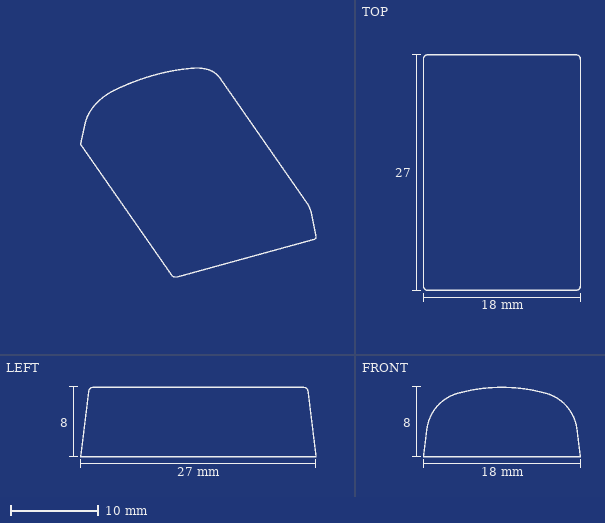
import cadquery as cq
import math

width = 18.0
length = 27.0
height = 8.0
draft_angle = 7.0
crown_radius = 18.9
shoulder_radius = 4.95
end_edge_radius = 0.5

draft_slope = math.tan(math.radians(draft_angle))


def side_crown_corner():
    """Sharp corner (x, z) where the leaning side line meets the crown arc."""
    half_width = width / 2
    center_z = height - crown_radius
    a = 1 + draft_slope**2
    b = -2 * (half_width * draft_slope + center_z)
    c = half_width**2 + center_z**2 - crown_radius**2
    z = (-b + math.sqrt(b**2 - 4 * a * c)) / (2 * a)
    return half_width - draft_slope * z, z


def arched_bar():
    """Constant section along Y, with rounded shoulders between sides and crown."""
    corner_x, corner_z = side_crown_corner()
    bar = (
        cq.Workplane("XZ")
        .moveTo(-width / 2, 0)
        .lineTo(width / 2, 0)
        .lineTo(corner_x, corner_z)
        .threePointArc((0, height), (-corner_x, corner_z))
        .close()
        .extrude(length / 2, both=True)
    )
    return bar.edges("|Y").edges(">Z").fillet(shoulder_radius)


def end_envelope():
    """Trapezoid seen along X that gives both ends their draft."""
    top_half_length = length / 2 - height * draft_slope
    return (
        cq.Workplane("YZ")
        .polyline([
            (-length / 2, 0),
            (length / 2, 0),
            (top_half_length, height),
            (-top_half_length, height),
        ])
        .close()
        .extrude(width / 2, both=True)
    )


body = arched_bar().intersect(end_envelope())

base_margin = 0.03
base_edges = cq.selectors.BoxSelector(
    (-width, -length, -base_margin), (width, length, base_margin)
)
rim_edges = cq.selectors.InverseSelector(base_edges)
result = body.faces("<Y or >Y").edges(rim_edges).fillet(end_edge_radius)